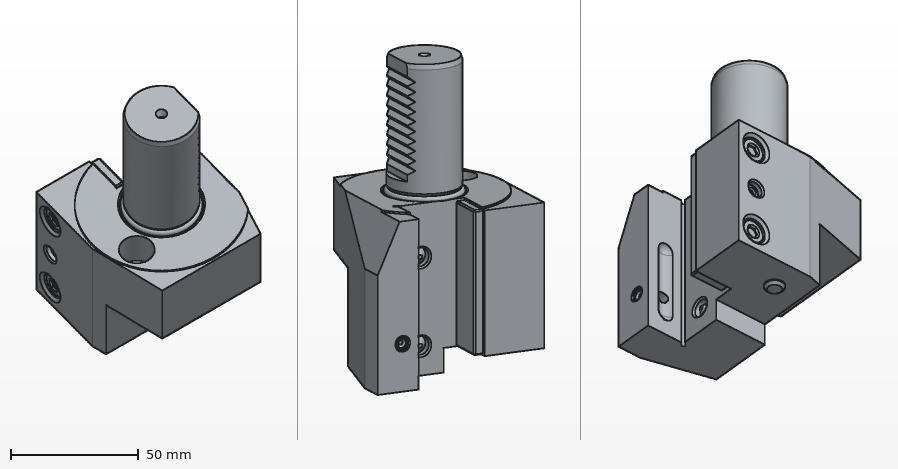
import cadquery as cq
import math


body_half_width = 35.0
body_top_z = -0.8
body_bottom_z = -60.0
arm_bottom_z = -70.0
step_z = -30.0
step_x = 8.0
front_y = -35.0
back_y = 38.0
side_taper_angle = 15.0
side_taper = math.tan(math.radians(side_taper_angle))
front_taper_x = 1.5
back_taper_x = -23.8
back_chamfer_y = 28.0
back_chamfer_angle = 25.0
back_chamfer_height = (back_y - back_chamfer_y) / math.tan(math.radians(back_chamfer_angle))
flange_radius = 34.0

slot_wall_x = -17.0
slot_back_y = 20.0
slot_front_y = -9.0
relief_width = 1.5
relief_reach = 1.2

shank_top_z = 55.0
shank_radius = 15.0
shank_chamfer_height = 2.0
shank_chamfer_width = 0.6
neck_top_z = 2.5
neck_bottom_z = 1.5
neck_radius = 14.5
flat_y = 12.0
flat_bottom_z = 7.0
tooth_count = 10
tooth_pitch = 4.0
tooth_depth = 2.2
tooth_mouth = 3.8
first_tooth_z = 11.8
centre_radius = 2.2
centre_angle = 60.0
centre_drill_radius = 0.8
centre_drill_depth = 4.5

seal_groove_radius = 17.1
seal_groove_floor_radius = 16.5
seal_groove_depth = 0.6
seal_ring_radius = 14.8
seal_section_radius = 1.4

bar_length_x = 16.2
bar_gap = 0.8
bar_thickness = 4.4
bar_top_z = -0.5
bar_bottom_z = -59.5
bar_chamfer = 0.6

clamp_screw_x = -26.0
clamp_screw_middle_z = -30.2
clamp_screw_pitch = 40.0
cone_screw_y = 10.0
cone_screw_top_z = -22.0
cone_screw_bottom_z = -58.0
cone_screw_recess = 3.8
cone_screw_tip_radius = 0.9
cone_screw_cone_height = 3.0
plug_y = 27.0
plug_z = -50.5
cone_screw_radius = 3.8
cone_screw_rim_radius = 4.5
cone_screw_rim_depth = 0.8
screw_length = 5.0

clamp_screw = dict(
    rim_radius=6.8, rim_depth=1.2, radius=5.5, recess=1.8, chamfer=0.6,
    socket_mouth_radius=3.0, socket_corner_radius=2.5, socket_depth=1.2,
)
set_screw = dict(
    rim_radius=4.1, rim_depth=0.8, radius=3.4, recess=2.5, chamfer=0.4,
    socket_mouth_radius=1.9, socket_corner_radius=1.2, socket_depth=1.2,
)
plug_screw = dict(
    rim_radius=3.2, rim_depth=0.5, radius=2.8, recess=1.0, chamfer=0.4,
    socket_mouth_radius=1.9, socket_corner_radius=1.0, socket_depth=1.2,
)

pocket_radius = 4.0
pocket_axis_y = 18.2
pocket_top_z = -29.0
pocket_bottom_z = -59.2
pocket_hole_radius = 2.5
blind_hole_x = 12.8
blind_hole_y = -21.8
blind_hole_radius = 7.0
blind_hole_depth = 15.0
drill_tip_angle = 118.0
nozzle_x = -5.2
nozzle_y = -21.5
nozzle_radius = 4.2
nozzle_height = 1.8
nozzle_chamfer = 1.2


def box_between(x0, x1, y0, y1, z0, z1):
    return cq.Workplane("XY").box(x1 - x0, y1 - y0, z1 - z0, centered=False).translate((x0, y0, z0))


def disc(radius, z0, z1, x=0.0, y=0.0):
    return cq.Workplane("XY", origin=(x, y, z0)).circle(radius).extrude(z1 - z0)


def front_plane(z):
    return cq.Plane((clamp_screw_x, front_y, z), (1, 0, 0), (0, 1, 0))


def side_plane(x, y, z):
    return cq.Plane((x, y, z), (0, 1, 0), (1, 0, 0))


def cone(plane, wide_radius, narrow_radius, height):
    """Frustum along the plane normal, or a full cone when the narrow radius is zero."""
    return cq.Workplane(obj=cq.Solid.makeCone(wide_radius, narrow_radius, height, plane.origin, plane.zDir))


def sink_screw(part, plane, rim_radius, rim_depth, radius, recess, screw):
    """Cut a countersunk bore along the plane normal and set the screw into it."""
    bore = cq.Workplane(plane).circle(radius).extrude(recess + screw_length)
    rim = cone(plane, rim_radius, radius, rim_depth)
    return part.cut(bore).cut(rim).union(screw)


def add_socket_screw(
    part, plane, rim_radius, rim_depth, radius, recess, chamfer,
    socket_mouth_radius, socket_corner_radius, socket_depth,
):
    """Recessed screw with a chamfered end and a countersunk hexagon socket."""
    face_plane = cq.Plane(plane.origin + plane.zDir * recess, plane.xDir, plane.zDir)
    screw = cq.Workplane(face_plane).circle(radius).extrude(screw_length)
    outer_face = cq.selectors.DirectionMinMaxSelector(plane.zDir, False)
    screw = screw.faces(outer_face).chamfer(chamfer)
    socket = cq.Workplane(face_plane).polygon(6, 2 * socket_corner_radius).extrude(socket_depth)
    socket_flat_radius = socket_corner_radius * math.cos(math.pi / 6)
    mouth_depth = socket_mouth_radius - socket_flat_radius
    mouth = cone(face_plane, socket_mouth_radius, socket_flat_radius, mouth_depth)
    screw = screw.cut(socket).cut(mouth)
    return sink_screw(part, plane, rim_radius, rim_depth, radius, recess, screw)


def add_cone_screw(part, z):
    """Recessed screw in the slot wall with its blunt cone point facing the slot."""
    plane = side_plane(slot_wall_x, cone_screw_y, z)
    base = side_plane(slot_wall_x + cone_screw_recess, cone_screw_y, z)
    toward_slot = cq.Plane(base.origin, (0, 1, 0), (-1, 0, 0))
    screw = cq.Workplane(base).circle(cone_screw_radius).extrude(screw_length)
    point = cone(toward_slot, cone_screw_radius, cone_screw_tip_radius, cone_screw_cone_height)
    screw = screw.union(point)
    return sink_screw(
        part, plane, cone_screw_rim_radius, cone_screw_rim_depth, cone_screw_radius, cone_screw_recess, screw
    )


def make_body():
    back_right_y = back_y - side_taper * (body_half_width - back_taper_x)
    front_right_y = front_y + side_taper * (body_half_width - front_taper_x)
    outline = [
        (-body_half_width, front_y),
        (front_taper_x, front_y),
        (body_half_width, front_right_y),
        (body_half_width, back_right_y),
        (back_taper_x, back_y),
        (-body_half_width, back_y),
    ]
    prism = cq.Workplane("XY", origin=(0, 0, arm_bottom_z)).polyline(outline).close().extrude(-arm_bottom_z)
    corners = box_between(-body_half_width, body_half_width, front_y, back_y, body_top_z, 0)
    corners = corners.cut(disc(flange_radius, body_top_z, 0))
    right_step = box_between(step_x, body_half_width, front_y, back_y, arm_bottom_z, step_z)
    front_step = box_between(-body_half_width, body_half_width, front_y, 0, arm_bottom_z, body_bottom_z)
    back_chamfer = (
        cq.Workplane("YZ", origin=(-body_half_width, 0, 0))
        .polyline([(back_chamfer_y, 0), (back_y, 0), (back_y, -back_chamfer_height)])
        .close()
        .extrude(2 * body_half_width)
    )
    return prism.cut(corners).cut(right_step).cut(front_step).cut(back_chamfer)


def make_tool_slot():
    slot = box_between(-body_half_width, slot_wall_x, slot_front_y, slot_back_y, arm_bottom_z, 0)
    relief = (
        cq.Workplane("XY", origin=(slot_wall_x, slot_back_y, arm_bottom_z))
        .transformed(rotate=(0, 0, 45))
        .slot2D(2 * relief_reach + relief_width, relief_width)
        .extrude(-arm_bottom_z)
    )
    return slot.union(relief)


def make_shank():
    top_radius = shank_radius - shank_chamfer_width
    profile = [
        (0, body_top_z),
        (neck_radius, body_top_z),
        (neck_radius, neck_bottom_z),
        (shank_radius, neck_top_z),
        (shank_radius, shank_top_z - shank_chamfer_height),
        (top_radius, shank_top_z),
        (0, shank_top_z),
    ]
    shank = cq.Workplane("XZ").polyline(profile).close().revolve(360, (0, 0), (0, 1))
    shank = shank.cut(
        box_between(-shank_radius, shank_radius, flat_y, shank_radius, flat_bottom_z, shank_top_z)
    )
    for index in range(tooth_count):
        valley_z = first_tooth_z + index * tooth_pitch
        groove = (
            cq.Workplane("YZ", origin=(-shank_radius, 0, 0))
            .polyline([
                (flat_y - tooth_depth, valley_z),
                (flat_y, valley_z - tooth_mouth / 2),
                (flat_y, valley_z + tooth_mouth / 2),
            ])
            .close()
            .extrude(2 * shank_radius)
        )
        shank = shank.cut(groove)
    centre_plane = cq.Plane((0, 0, shank_top_z), (1, 0, 0), (0, 0, -1))
    countersink_depth = centre_radius / math.tan(math.radians(centre_angle / 2))
    countersink = cone(centre_plane, centre_radius, 0.0, countersink_depth)
    drill = cq.Workplane(centre_plane).circle(centre_drill_radius).extrude(centre_drill_depth)
    return shank.cut(countersink).cut(drill)


def make_bar():
    x0 = -body_half_width + bar_gap
    bar = box_between(
        x0, x0 + bar_length_x, slot_front_y, slot_front_y + bar_thickness, bar_bottom_z, bar_top_z
    )
    return bar.edges().chamfer(bar_chamfer)


def make_coolant_pocket():
    pocket = cq.Workplane("XY", origin=(clamp_screw_x, pocket_axis_y, pocket_bottom_z))
    pocket = pocket.circle(pocket_radius).extrude(pocket_top_z - pocket_bottom_z)
    for end_z in (pocket_top_z, pocket_bottom_z):
        pocket = pocket.union(
            cq.Workplane("XY").sphere(pocket_radius).translate((clamp_screw_x, pocket_axis_y, end_z))
        )
    feed = cq.Workplane(cq.Plane((clamp_screw_x, slot_back_y, plug_z), (1, 0, 0), (0, 1, 0)))
    return pocket.union(feed.circle(pocket_hole_radius).extrude(plug_y - slot_back_y))


def make_blind_hole():
    floor_plane = cq.Plane((blind_hole_x, blind_hole_y, -blind_hole_depth), (1, 0, 0), (0, 0, -1))
    tip_height = blind_hole_radius / math.tan(math.radians(drill_tip_angle / 2))
    hole = disc(blind_hole_radius, -blind_hole_depth, 0, blind_hole_x, blind_hole_y)
    return hole.union(cone(floor_plane, blind_hole_radius, 0.0, tip_height))


def make_nozzle():
    nozzle = disc(nozzle_radius, body_bottom_z - nozzle_height, body_bottom_z, nozzle_x, nozzle_y)
    return nozzle.faces("<Z").chamfer(nozzle_chamfer)


result = make_body().cut(make_tool_slot())
groove_plane = cq.Plane((0, 0, 0), (1, 0, 0), (0, 0, -1))
result = result.cut(cone(groove_plane, seal_groove_radius, seal_groove_floor_radius, seal_groove_depth))
result = result.union(make_shank())
result = result.union(
    cq.Workplane(obj=cq.Solid.makeTorus(seal_ring_radius, seal_section_radius))
)
result = result.cut(make_blind_hole())

for side in (-1, 1):
    clamp_screw_z = clamp_screw_middle_z + side * clamp_screw_pitch / 2
    result = add_socket_screw(result, front_plane(clamp_screw_z), **clamp_screw)
result = add_socket_screw(result, front_plane(clamp_screw_middle_z), **set_screw)

result = result.cut(make_coolant_pocket())
result = add_socket_screw(result, side_plane(-body_half_width, plug_y, plug_z), **plug_screw)

for cone_screw_z in (cone_screw_top_z, cone_screw_bottom_z):
    result = add_cone_screw(result, cone_screw_z)

result = result.union(make_bar())
result = result.union(make_nozzle())